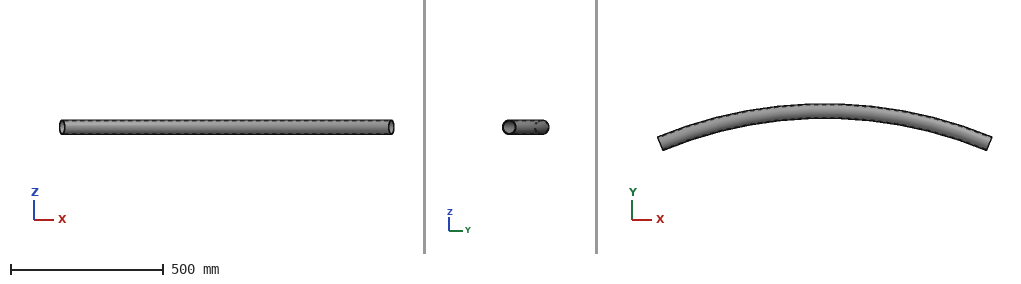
import cadquery as cq
import math

OUTER_DIAMETER = 48.3
WALL_THICKNESS = 3.6
BEND_RADIUS = 1410.0
BEND_ANGLE = 45.0

HALF_ANGLE = math.radians(BEND_ANGLE / 2)


def point_on_centreline(angle):
    """Centreline point at an angle from +Y, with the bend centre at the origin."""
    return (BEND_RADIUS * math.sin(angle), BEND_RADIUS * math.cos(angle))


def bent_tube():
    """Sweep the ring section along the centreline arc, leaving both ends open."""
    left_end = point_on_centreline(-HALF_ANGLE)
    middle = point_on_centreline(0)
    right_end = point_on_centreline(HALF_ANGLE)
    centreline = cq.Workplane("XY").moveTo(*left_end).threePointArc(middle, right_end)

    end_plane = cq.Plane(
        origin=(*left_end, 0),
        xDir=(math.sin(HALF_ANGLE), -math.cos(HALF_ANGLE), 0),
        normal=(math.cos(HALF_ANGLE), math.sin(HALF_ANGLE), 0),
    )
    outer_radius = OUTER_DIAMETER / 2
    inner_radius = outer_radius - WALL_THICKNESS
    ring = cq.Workplane(end_plane).circle(outer_radius).circle(inner_radius)
    return ring.sweep(centreline)


result = bent_tube()